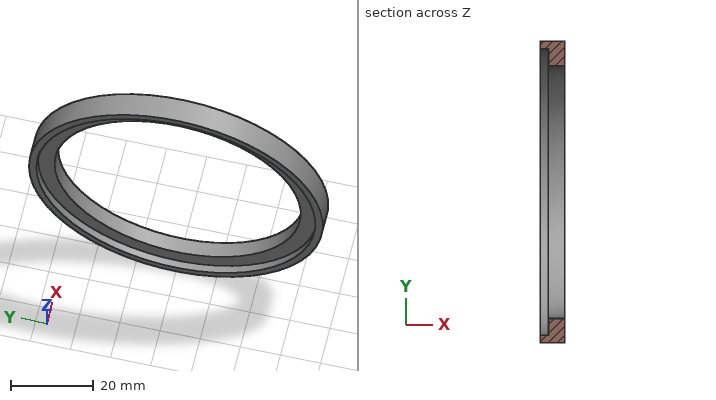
import cadquery as cq

outer_diameter = 73.2
bore_diameter = 61.3
counterbore_diameter = 69.5
width = 6.0
counterbore_depth = 2.0

ring = (
    cq.Workplane("YZ")
    .circle(outer_diameter / 2)
    .circle(bore_diameter / 2)
    .extrude(width)
    .translate((-width / 2, 0, 0))
)

counterbore = (
    cq.Workplane("YZ")
    .workplane(offset=-width / 2)
    .circle(counterbore_diameter / 2)
    .extrude(counterbore_depth)
)

result = ring.cut(counterbore)